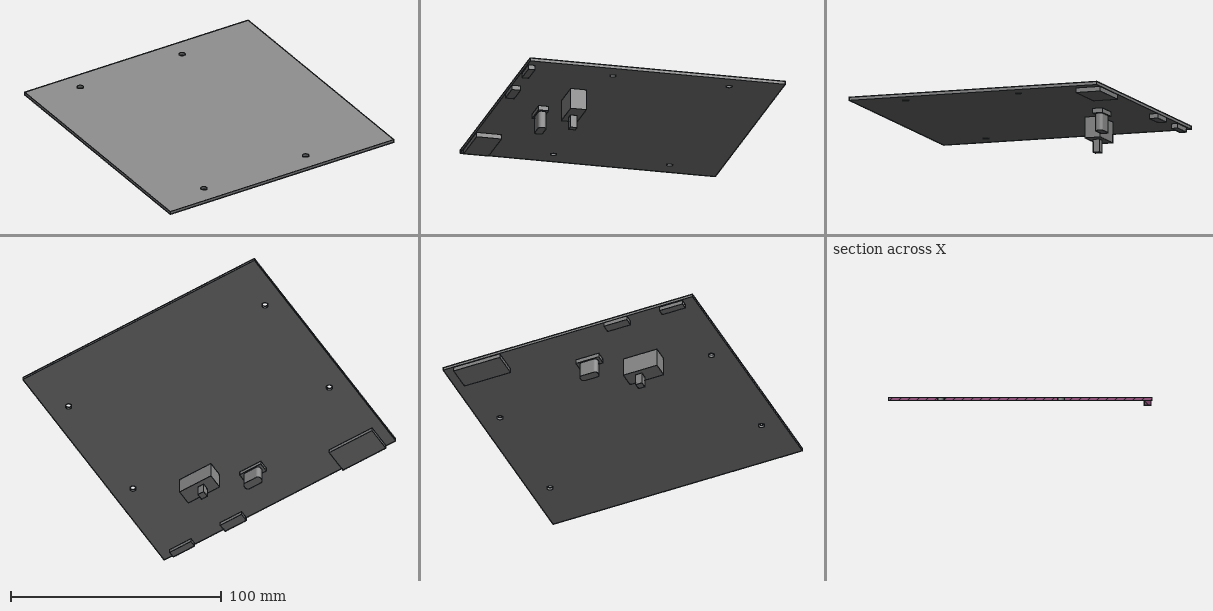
import cadquery as cq

board_length = 130.0
board_width = 125.0
board_thickness = 1.5
hole_diameter = 3.0
hole_spacing_x = 110.2
hole_spacing_y = 57.0
hole_center_y = -9.1

chip_height = 2.2
small_chip_length = 12.0
small_chip_width = 3.2
small_chip_x = -53.5
wide_chip_length = small_chip_length
wide_chip_width = 4.3
large_chip_length = 24.0
large_chip_width = 12.2
large_chip_x = 47.6
large_chip_y = 56.2

switch_length = 17.5
switch_width = 7.7
switch_height = 10.0
switch_x = -24.8
switch_y = 30.5
actuator_side = 3.2
actuator_x = -23.1
actuator_y = switch_y
total_height = 17.7
actuator_height = total_height - board_thickness - switch_height

wide_chip_x = switch_x
wide_chip_y = (board_width - wide_chip_width) / 2
small_chip_y = wide_chip_y

flange_length = 12.0
flange_width = 5.0
flange_height = chip_height
can_length = 9.2
can_width = 3.9
can_height = 8.2
can_corner_radius = 1.5
crystal_x = -1.3
crystal_y = 40.7


def hanging_block(length, width, height, x, y, top=0.0):
    """Block whose top face is at the given Z."""
    block = cq.Workplane("XY").box(length, width, height, centered=(True, True, False))
    return block.translate((x, y, top - height))


def make_board():
    """Plate with four through mounting holes."""
    plate = hanging_block(board_length, board_width, board_thickness, 0, 0, top=board_thickness)
    holes = (
        cq.Workplane("XY")
        .center(0, hole_center_y)
        .rect(hole_spacing_x, hole_spacing_y, forConstruction=True)
        .vertices()
        .circle(hole_diameter / 2)
        .extrude(board_thickness)
    )
    return plate.cut(holes)


def make_switch():
    """Housing with the actuator below it, as one solid."""
    housing = hanging_block(switch_length, switch_width, switch_height, switch_x, switch_y)
    actuator = hanging_block(
        actuator_side, actuator_side, actuator_height, actuator_x, actuator_y, top=-switch_height
    )
    return housing.union(actuator)


def make_crystal():
    """Flange with the can below it, as one solid."""
    flange = hanging_block(flange_length, flange_width, flange_height, crystal_x, crystal_y)
    can = hanging_block(can_length, can_width, can_height, crystal_x, crystal_y, top=-flange_height)
    return flange.union(can.edges("|Z").fillet(can_corner_radius))


board = make_board()
small_chip = hanging_block(small_chip_length, small_chip_width, chip_height, small_chip_x, small_chip_y)
large_chip = hanging_block(large_chip_length, large_chip_width, chip_height, large_chip_x, large_chip_y)
wide_chip = hanging_block(wide_chip_length, wide_chip_width, chip_height, wide_chip_x, wide_chip_y)
switch = make_switch()
crystal = make_crystal()

result = cq.Compound.makeCompound(
    [
        board.val(),
        small_chip.val(),
        large_chip.val(),
        wide_chip.val(),
        switch.val(),
        crystal.val(),
    ]
)